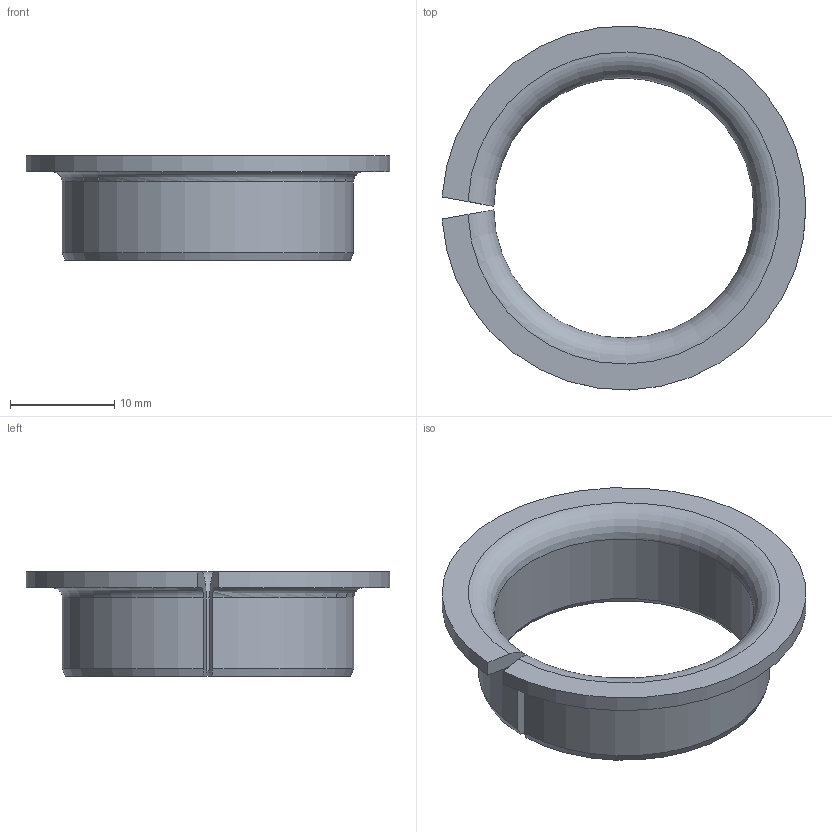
import cadquery as cq
import math

bore_diameter = 25.0
wall = 1.5
flange_diameter = 35.0
length = 10.0
outer_bend_radius = 1.0

chamfer_height = 0.7
chamfer_angle = 20.0

bore_chamfer_height = 0.5
bore_chamfer_angle = 30.0

gap_width_at_bore = 0.35
gap_half_angle = 10.0
gap_overrun = 1.0

bore_radius = bore_diameter / 2
sleeve_radius = bore_radius + wall
flange_radius = flange_diameter / 2
inner_bend_radius = outer_bend_radius + wall
bend_center_radius = sleeve_radius + outer_bend_radius
bend_center_height = length - inner_bend_radius
flange_underside = length - wall
chamfer_width = chamfer_height * math.tan(math.radians(chamfer_angle))
bore_chamfer_width = bore_chamfer_height * math.tan(math.radians(bore_chamfer_angle))


def bend_point(radius):
    """Midpoint (r, z) of a quarter bend of the given radius, between sleeve and flange."""
    offset = radius * math.sqrt(0.5)
    return (bend_center_radius - offset, bend_center_height + offset)


def make_flanged_sleeve():
    """Full ring: one wall section, bent from sleeve to flange, revolved about Z."""
    section = (
        cq.Workplane("XZ")
        .moveTo(bore_radius, bore_chamfer_height)
        .lineTo(bore_radius + bore_chamfer_width, 0)
        .lineTo(sleeve_radius - chamfer_width, 0)
        .lineTo(sleeve_radius, chamfer_height)
        .lineTo(sleeve_radius, bend_center_height)
        .threePointArc(bend_point(outer_bend_radius), (bend_center_radius, flange_underside))
        .lineTo(flange_radius, flange_underside)
        .lineTo(flange_radius, length)
        .lineTo(bend_center_radius, length)
        .threePointArc(bend_point(inner_bend_radius), (bore_radius, bend_center_height))
        .close()
    )
    ring = section.revolve(360, (0, 0, 0), (0, 1, 0))
    return ring.rotate((0, 0, 0), (0, 0, 1), 180)


def make_gap():
    """Wedge that splits the ring over its whole height."""
    slope = math.tan(math.radians(gap_half_angle))
    apex_radius = bore_radius - gap_width_at_bore / 2 / slope
    end_radius = flange_radius + gap_overrun
    end_half_width = (end_radius - apex_radius) * slope
    corners = [
        (-apex_radius, 0),
        (-end_radius, end_half_width),
        (-end_radius, -end_half_width),
    ]
    return cq.Workplane("XY").polyline(corners).close().extrude(length)


result = make_flanged_sleeve().cut(make_gap())